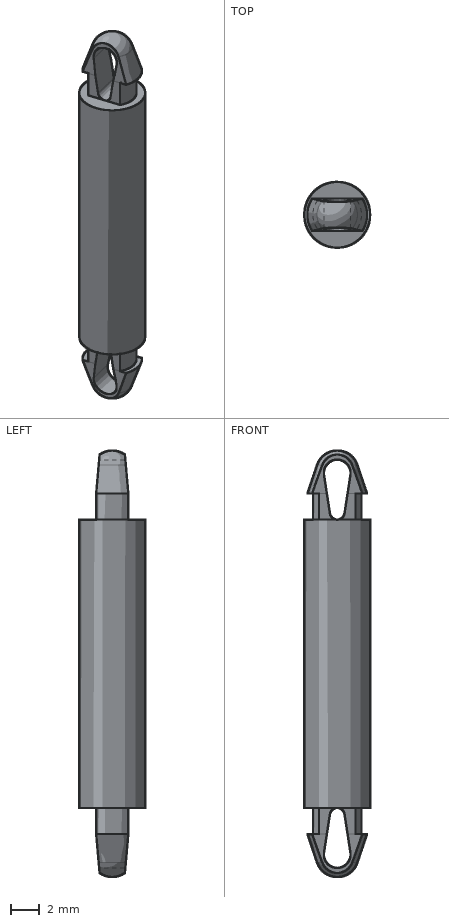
import cadquery as cq
import math

total_length = 29.6
body_diameter = 4.6
body_length = 20.0
body_top = body_length / 2
tip_z = total_length / 2

stem_radius = 1.7
stem_length = 1.8
barb_radius = 2.07
dome_radius = 1.48
barb_z = body_top + stem_length
dome_center_z = tip_z - dome_radius

stem_half_thickness = 1.12
tip_half_thickness = 0.85

slot_top_radius = 0.92
slot_bottom_radius = 0.5
tip_wall = 0.65
slot_top_center_z = tip_z - tip_wall - slot_top_radius
slot_bottom_center_z = body_top + slot_bottom_radius


def dome_point(angle):
    """Point (radius, z) on the spherical tip at an angle above horizontal."""
    return dome_radius * math.cos(angle), dome_center_z + dome_radius * math.sin(angle)


def round_pin():
    """Revolved pin whose barb cone runs tangent into the spherical tip."""
    barb_drop = dome_center_z - barb_z
    barb_distance = math.hypot(barb_radius, barb_drop)
    tangent_angle = math.acos(dome_radius / barb_distance) - math.atan2(barb_drop, barb_radius)
    middle_angle = (tangent_angle + math.pi / 2) / 2
    return (
        cq.Workplane("XZ")
        .moveTo(0, body_top)
        .lineTo(stem_radius, body_top)
        .lineTo(stem_radius, barb_z)
        .lineTo(barb_radius, barb_z)
        .lineTo(*dome_point(tangent_angle))
        .threePointArc(dome_point(middle_angle), (0, tip_z))
        .close()
        .revolve(360, (0, 0, 0), (0, 1, 0))
    )


def flat_envelope():
    """Slab that flattens the pin, with straight stem sides and tapered barb sides."""
    right_side = [
        (stem_half_thickness, body_top),
        (stem_half_thickness, barb_z),
        (tip_half_thickness, tip_z),
    ]
    left_side = [(-y, z) for y, z in reversed(right_side)]
    return cq.Workplane("YZ").polyline(right_side + left_side).close().extrude(barb_radius, both=True)


def teardrop_slot():
    """Two arcs joined by their common tangent lines; the wide end is at the tip."""
    center_distance = slot_top_center_z - slot_bottom_center_z
    tangent_angle = math.asin((slot_bottom_radius - slot_top_radius) / center_distance)
    across = math.cos(tangent_angle)
    along = math.sin(tangent_angle)
    top_x = slot_top_radius * across
    top_z = slot_top_center_z + slot_top_radius * along
    bottom_x = slot_bottom_radius * across
    bottom_z = slot_bottom_center_z + slot_bottom_radius * along
    return (
        cq.Workplane("XZ")
        .moveTo(bottom_x, bottom_z)
        .lineTo(top_x, top_z)
        .threePointArc((0, slot_top_center_z + slot_top_radius), (-top_x, top_z))
        .lineTo(-bottom_x, bottom_z)
        .threePointArc((0, slot_bottom_center_z - slot_bottom_radius), (bottom_x, bottom_z))
        .close()
        .extrude(body_diameter / 2, both=True)
    )


body = cq.Workplane("XY").cylinder(body_length, body_diameter / 2)
top_pin = round_pin().intersect(flat_envelope()).cut(teardrop_slot())
bottom_pin = top_pin.mirror("XY")

result = body.union(top_pin).union(bottom_pin)